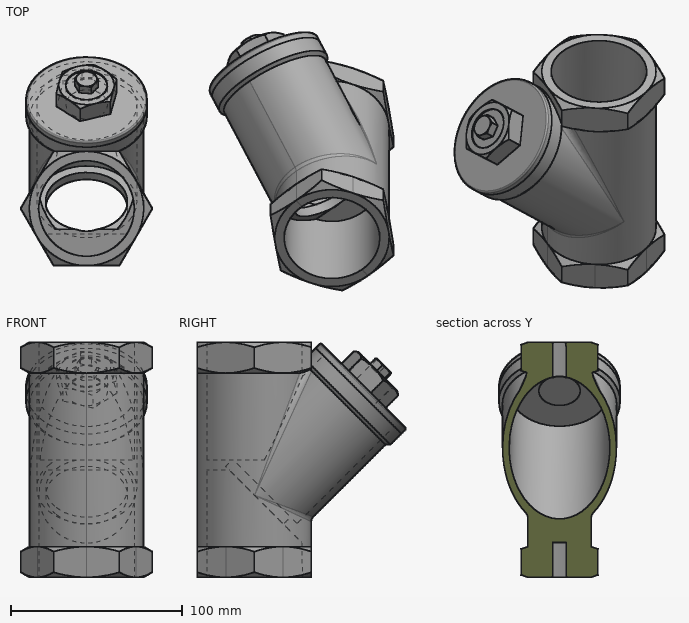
import cadquery as cq
import math

length = 137.0
barrel_radius = 33.3
bore_radius = 27.8
end_hex_height = 18.0
chamfer_angle = 30.0
hex_flat_ratio = math.cos(math.radians(30))

branch_start_z = 48.0
branch_bore_radius = 29.2
crease_fillet = 4.0
collar_radius = 35.3
collar_chamfer_start = 74.8
collar_top = 85.9

web_thickness = 5.9
web_hole_radius = 23.8
upper_floor_z = 68.5

cap_thickness = 4.2
cap_edge_fillet = 1.0
cap_hex_corner_radius = 18.6
cap_hex_height = 11.6
cap_hex_turn = 18.5

stem_radius = 12.0
stem_recess = 0.8
stem_hex_corner_radius = 7.0
stem_hex_height = 5.8
stem_hex_turn = -6.0

cap_top = collar_top + cap_thickness
cap_hex_top = cap_top + cap_hex_height
stem_shoulder = cap_hex_top - stem_recess
collar_chamfer_end = collar_chamfer_start + collar_radius - barrel_radius
lower_ceiling_z = upper_floor_z - web_thickness


def branch_plane(distance):
    """Plane square to the branch axis, at a distance from the run axis."""
    run_plane = cq.Plane(origin=(0, 0, branch_start_z), xDir=(1, 0, 0), normal=(0, 1, 1))
    return cq.Workplane(run_plane).workplane(offset=distance)


def branch_cylinder(radius, start, end):
    return branch_plane(start).circle(radius).extrude(end - start)


def chamfered_hex(corner_radius, height, chamfer_base):
    """Upright hexagon on z = 0, its corners turned to a cone at the top and, if asked, at the base."""
    flat_radius = corner_radius * hex_flat_ratio
    drop = (corner_radius - flat_radius) * math.tan(math.radians(chamfer_angle))
    profile = cq.Workplane("XZ").moveTo(0, 0)
    if chamfer_base:
        profile = profile.lineTo(flat_radius, 0).lineTo(corner_radius, drop)
    else:
        profile = profile.lineTo(corner_radius, 0)
    profile = profile.lineTo(corner_radius, height - drop).lineTo(flat_radius, height).lineTo(0, height)
    envelope = profile.close().revolve(360, (0, 0), (0, 1))
    return cq.Workplane("XY").polygon(6, 2 * corner_radius).extrude(height).intersect(envelope)


def branch_hex(corner_radius, height, start, turn):
    """Hexagon chamfered at its outer end, turned about the branch axis and set on it."""
    upright = chamfered_hex(corner_radius, height, False).rotate((0, 0, 0), (0, 0, 1), turn)
    return cq.Workplane(upright.val().located(cq.Location(branch_plane(start).plane)))


def barrel_and_branch():
    """Tee with its creases filleted on the +X half, mirrored to -X and cut off below the collar.

    Barrel and branch share one radius, so both creases run out at the sides of the tee.
    The branch starts overlong, to let the upper fillet run its full course before the cut.
    """
    barrel = cq.Workplane("XY").circle(barrel_radius).extrude(length)
    tee = barrel.union(branch_cylinder(barrel_radius, 0, length))
    half = tee.intersect(cq.Workplane("XY").box(length, 4 * length, 4 * length, centered=(False, True, True)))
    creases = [edge for edge in half.edges().vals() if edge.geomType() == "ELLIPSE"]
    half = half.newObject(creases).fillet(crease_fillet)
    beyond_branch = branch_plane(collar_chamfer_start).rect(2 * length, 2 * length).extrude(length)
    half = half.cut(beyond_branch)
    return half.union(half.mirror("YZ"))


def collar():
    cone_rise = collar_chamfer_end - collar_chamfer_start
    cone = branch_plane(collar_chamfer_start).circle(barrel_radius).workplane(offset=cone_rise)
    cone = cone.circle(collar_radius).loft(ruled=True)
    return cone.union(branch_cylinder(collar_radius, collar_chamfer_end, collar_top))


def upper_chamber():
    """Upper bore down to its flat floor, joined to the branch bore above the web."""
    bore = cq.Workplane("XY").workplane(offset=upper_floor_z).circle(bore_radius)
    bore = bore.extrude(length - upper_floor_z)
    return bore.union(branch_cylinder(branch_bore_radius, web_thickness, collar_top))


def lower_chamber():
    """Lower bore that ends at a flat ceiling and at the underside of the slanted web."""
    bore = cq.Workplane("XY").circle(bore_radius).extrude(lower_ceiling_z)
    above_web = branch_plane(0).rect(2 * length, 2 * length).extrude(length)
    return bore.cut(above_web)


def make_housing():
    body = barrel_and_branch().union(collar())
    end_hex = chamfered_hex(barrel_radius / hex_flat_ratio, end_hex_height, True)
    for base_z in (0, length - end_hex_height):
        body = body.union(end_hex.translate((0, 0, base_z)))
    web_hole = branch_cylinder(web_hole_radius, 0, web_thickness)
    return body.cut(upper_chamber()).cut(lower_chamber()).cut(web_hole)


def make_cap():
    """Round disc with a hexagonal boss, bored through for the stem."""
    disc = branch_cylinder(collar_radius, collar_top, cap_top)
    outer_face = cq.selectors.DirectionMinMaxSelector(cq.Vector(0, 1, 1))
    disc = disc.faces(outer_face).edges().fillet(cap_edge_fillet)
    cap = disc.union(branch_hex(cap_hex_corner_radius, cap_hex_height, cap_top, cap_hex_turn))
    return cap.cut(branch_cylinder(stem_radius, collar_top, cap_hex_top))


def make_stem():
    """Round shank that fills the cap's bore to just below its top, with a small hexagonal head."""
    shank = branch_cylinder(stem_radius, collar_top, stem_shoulder)
    return shank.union(branch_hex(stem_hex_corner_radius, stem_hex_height, stem_shoulder, stem_hex_turn))


housing = make_housing()
cap = make_cap()
stem = make_stem()

result = cq.Compound.makeCompound([housing.val(), cap.val(), stem.val()])